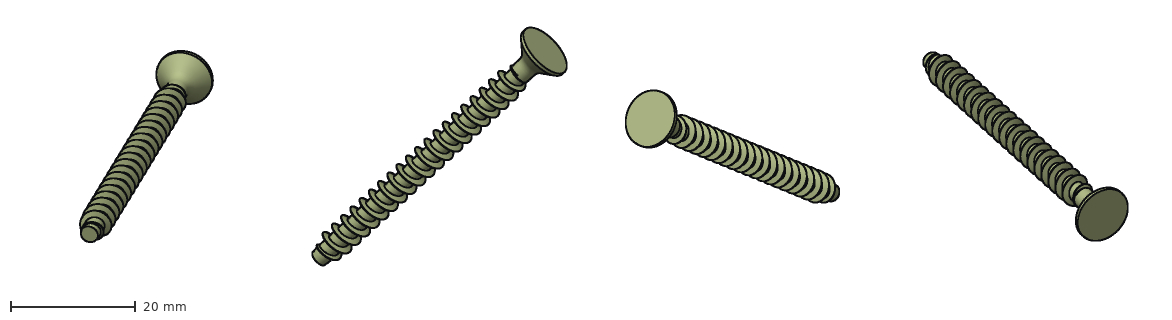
import cadquery as cq
import math

length = 55.0
head_radius = 4.65
rim_height = 0.65
shank_radius = 1.75
shank_end = 6.2
neck_fillet = 2.2
core_radius = 1.55
tip_radius = 1.45
tip_taper = 1.1

pitch = 42.6 / 19
crest_radius = 2.6
crest_width = 0.1
root_width = 0.75
root_radius = core_radius - 0.15
thread_bottom = 54.45
bottom_start_angle = 180
runout_turns = 1.25
full_turns = 19.25
full_pieces = 18
bottom_runout_radius = 1.45
top_runout_radius = 1.7


def body():
    """Head, neck and core turned in one piece about the Y axis."""
    cone_angle = math.radians(45)
    cone_end_radius = shank_radius + neck_fillet * (1 - math.cos(cone_angle))
    cone_end = rim_height + head_radius - cone_end_radius
    fillet_end = cone_end + neck_fillet * math.sin(cone_angle)
    half_arc = cone_angle / 2
    arc_middle = (
        shank_radius + neck_fillet * (1 - math.cos(half_arc)),
        -fillet_end + neck_fillet * math.sin(half_arc),
    )
    return (
        cq.Workplane("XY")
        .lineTo(head_radius, 0)
        .lineTo(head_radius, -rim_height)
        .lineTo(cone_end_radius, -cone_end)
        .threePointArc(arc_middle, (shank_radius, -fillet_end))
        .lineTo(shank_radius, -shank_end)
        .lineTo(core_radius, -shank_end)
        .lineTo(core_radius, -length + tip_taper)
        .lineTo(tip_radius, -length)
        .lineTo(0, -length)
        .close()
        .revolve(360, (0, 0), (0, 1))
    )


def conical_helix(rise, start_radius, end_radius):
    """Helix about Z whose radius changes evenly over its rise."""
    taper = math.atan((end_radius - start_radius) / rise)
    slant = 1 / math.cos(taper)
    return cq.Wire.makeHelix(pitch * slant, rise * slant, start_radius, angle=math.degrees(taper))


def helix_edge(turns_before, turns, start_radius, end_radius, offset):
    """One helical edge of the ridge, shifted along Z by the offset."""
    rise = turns * pitch
    if start_radius == end_radius:
        helix = cq.Wire.makeHelix(pitch, rise, start_radius)
    else:
        helix = conical_helix(rise, start_radius, end_radius)
    helix = helix.rotate(
        cq.Vector(0, 0, 0), cq.Vector(0, 0, 1), bottom_start_angle + 360 * turns_before
    )
    return helix.translate(cq.Vector(0, 0, turns_before * pitch + offset)).Edges()[0]


def thread_piece(turns_before, turns, start_radius, end_radius):
    """Four edges along one piece of the ridge, in order around its section."""
    return [
        helix_edge(turns_before, turns, root_radius, root_radius, -root_width / 2),
        helix_edge(turns_before, turns, start_radius, end_radius, -crest_width / 2),
        helix_edge(turns_before, turns, start_radius, end_radius, crest_width / 2),
        helix_edge(turns_before, turns, root_radius, root_radius, root_width / 2),
    ]


def end_cap(edges, at_start):
    """Flat trapezoid that closes one end of the ridge."""
    corners = [edge.startPoint() if at_start else edge.endPoint() for edge in edges]
    return cq.Face.makeFromWires(cq.Wire.makePolygon(corners, close=True))


def thread():
    """Trapezoidal helical ridge: bottom run-out, full-height stretch, top run-out."""
    pieces = [thread_piece(0, runout_turns, bottom_runout_radius, crest_radius)]
    piece_turns = full_turns / full_pieces
    for index in range(full_pieces):
        turns_before = runout_turns + index * piece_turns
        pieces.append(thread_piece(turns_before, piece_turns, crest_radius, crest_radius))
    pieces.append(
        thread_piece(runout_turns + full_turns, runout_turns, crest_radius, top_runout_radius)
    )

    faces = [end_cap(pieces[0], True), end_cap(pieces[-1], False)]
    for edges in pieces:
        for edge, next_edge in zip(edges, edges[1:] + edges[:1]):
            faces.append(cq.Face.makeRuledSurface(edge, next_edge))
    ridge = cq.Workplane(cq.Solid.makeSolid(cq.Shell.makeShell(faces)))
    return ridge.rotate((0, 0, 0), (1, 0, 0), -90).translate((0, -thread_bottom, 0))


result = body().union(thread())